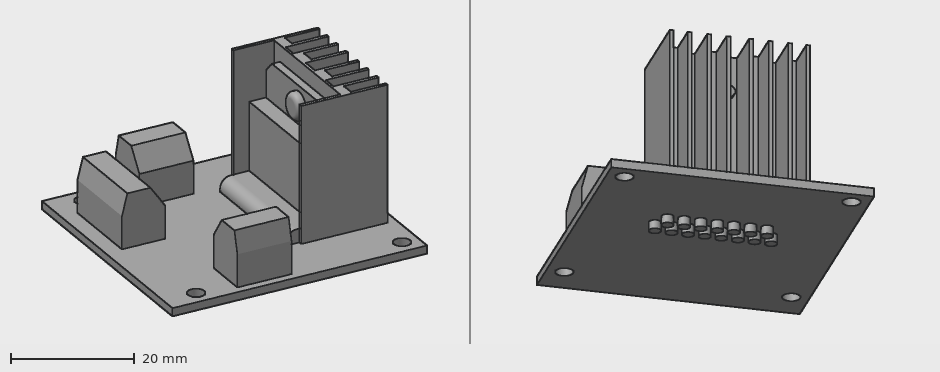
import cadquery as cq

BOARD_WIDTH = 44.0
BOARD_LENGTH = 47.0
BOARD_THICKNESS = 1.5
HOLE_DIAMETER = 3.0
HOLE_SPACING = 38.0
HOLE_EDGE_MARGIN = 3.0
BOARD_BACK = HOLE_SPACING / 2 + HOLE_EDGE_MARGIN

SINK_HEIGHT = 25.0
SINK_WIDTH = 23.5
SINK_LENGTH = 15.9
SINK_EDGE_MARGIN = 1.7
SINK_BACK = BOARD_BACK - SINK_EDGE_MARGIN
WALL_THICKNESS = 0.65
FIN_THICKNESS = 0.7
FIN_CENTERS = (1.9, 5.13, 8.41)
FIN_SIDE_DEPTH = 8.4
PLATE_FRONT = SINK_BACK - FIN_SIDE_DEPTH
PLATE_THICKNESS_MIDDLE_GAP = 0.45
PLATE_THICKNESS_CENTER_GAP = 0.6
PLATE_THICKNESS_OTHER_GAPS = 2.0
INNER_WIDTH = SINK_WIDTH - 2 * WALL_THICKNESS

TAB_THICKNESS = 1.5
TAB_HEIGHT = 22.0
TAB_CHAMFER = 2.0
BODY_HEIGHT = 15.0
BODY_THICKNESS = 4.6
LEAD_HEIGHT = 2.5
LEAD_REACH = 10.0
LEAD_BEND_RADIUS = 2.0

SCREW_HEIGHT = 18.5
SCREW_DIAMETER = 2.0
SCREW_TIP_LENGTH = 1.05
HEAD_DIAMETER = 5.0
HEAD_THICKNESS = 1.5
HEAD_ROUNDING = 1.0

PIN_DIAMETER = 2.0
PIN_LENGTH = 1.5
PIN_PITCH = 2.78
PIN_ROW_SPACING = 2.7
FRONT_ROW_COUNT = 8
BACK_ROW_OFFSET = 5.95
BACK_ROW_Y = PLATE_FRONT - BACK_ROW_OFFSET

TERMINAL_DEPTH = 8.0
TERMINAL_HEIGHT = 9.9
TERMINAL_SHOULDER = 6.0
STEEP_SLOPE_RUN = 1.0
GENTLE_SLOPE_RUN = 2.75
SIDE_TERMINAL_LENGTH = 10.0
SIDE_TERMINAL_OUTER_X = 20.5
SIDE_TERMINAL_Y = -7.2
FRONT_TERMINAL_LENGTH = 15.0
FRONT_TERMINAL_OUTER_Y = 22.0
FRONT_TERMINAL_X = -8.0


def block(x_min, x_max, y_min, y_max, z_max):
    """Box standing on the board's top face."""
    return (
        cq.Workplane("XY")
        .box(x_max - x_min, y_max - y_min, z_max, centered=False)
        .translate((x_min, y_min, 0))
    )


def make_board():
    return (
        cq.Workplane("XY")
        .center(0, BOARD_BACK - BOARD_LENGTH / 2)
        .rect(BOARD_WIDTH, BOARD_LENGTH)
        .extrude(-BOARD_THICKNESS)
        .cut(
            cq.Workplane("XY")
            .rect(HOLE_SPACING, HOLE_SPACING, forConstruction=True)
            .vertices()
            .circle(HOLE_DIAMETER / 2)
            .extrude(-BOARD_THICKNESS)
        )
    )


def make_heatsink():
    half_inner = INNER_WIDTH / 2
    thin_back = PLATE_FRONT + PLATE_THICKNESS_MIDDLE_GAP
    thick_back = PLATE_FRONT + PLATE_THICKNESS_OTHER_GAPS
    sink = block(-half_inner, half_inner, PLATE_FRONT, thin_back, SINK_HEIGHT)
    inner_fin, middle_fin, outer_fin = FIN_CENTERS
    center_back = PLATE_FRONT + PLATE_THICKNESS_CENTER_GAP
    sink = sink.union(block(-inner_fin, inner_fin, PLATE_FRONT, center_back, SINK_HEIGHT))
    half_fin = FIN_THICKNESS / 2
    for side in (-1, 1):
        wall_x = side * (SINK_WIDTH - WALL_THICKNESS) / 2
        wall = block(
            wall_x - WALL_THICKNESS / 2,
            wall_x + WALL_THICKNESS / 2,
            SINK_BACK - SINK_LENGTH,
            SINK_BACK,
            SINK_HEIGHT,
        )
        sink = sink.union(wall)
        for center in FIN_CENTERS:
            fin_x = side * center
            fin = block(fin_x - half_fin, fin_x + half_fin, PLATE_FRONT, SINK_BACK, SINK_HEIGHT)
            sink = sink.union(fin)
        for start, end in ((inner_fin, middle_fin), (outer_fin, half_inner)):
            x_min, x_max = sorted((side * start, side * end))
            sink = sink.union(block(x_min, x_max, PLATE_FRONT, thick_back, SINK_HEIGHT))
    return sink


def make_device():
    half_width = INNER_WIDTH / 2
    tab_front = PLATE_FRONT - TAB_THICKNESS
    tab = (
        block(-half_width, half_width, tab_front, PLATE_FRONT, TAB_HEIGHT)
        .edges("|Y and >Z")
        .chamfer(TAB_CHAMFER)
    )
    body = block(-half_width, half_width, PLATE_FRONT - BODY_THICKNESS, PLATE_FRONT, BODY_HEIGHT)
    leads = (
        block(-half_width, half_width, PLATE_FRONT - LEAD_REACH, PLATE_FRONT, LEAD_HEIGHT)
        .edges("|X and >Z and <Y")
        .fillet(LEAD_BEND_RADIUS)
    )
    return tab.union(body).union(leads)


def make_screw():
    tab_front = PLATE_FRONT - TAB_THICKNESS
    shank_end = PLATE_FRONT + PLATE_THICKNESS_CENTER_GAP + SCREW_TIP_LENGTH
    head = (
        cq.Workplane("XZ", origin=(0, tab_front, SCREW_HEIGHT))
        .circle(HEAD_DIAMETER / 2)
        .extrude(HEAD_THICKNESS)
        .faces("<Y")
        .edges()
        .fillet(HEAD_ROUNDING)
    )
    shank = (
        cq.Workplane("XZ", origin=(0, tab_front, SCREW_HEIGHT))
        .circle(SCREW_DIAMETER / 2)
        .extrude(tab_front - shank_end)
    )
    return head.union(shank)


def make_pin_row(count, row_y):
    return (
        cq.Workplane("XY", origin=(0, row_y, -BOARD_THICKNESS))
        .rarray(PIN_PITCH, 1, count, 1)
        .circle(PIN_DIAMETER / 2)
        .extrude(-PIN_LENGTH)
    )


def make_terminal(length):
    """Terminal block along Y, centred on Y = 0, with its steep slope at X = 0 facing -X."""
    profile = [
        (0, 0),
        (0, TERMINAL_SHOULDER),
        (STEEP_SLOPE_RUN, TERMINAL_HEIGHT),
        (TERMINAL_DEPTH - GENTLE_SLOPE_RUN, TERMINAL_HEIGHT),
        (TERMINAL_DEPTH, TERMINAL_SHOULDER),
        (TERMINAL_DEPTH, 0),
    ]
    return cq.Workplane("XZ").polyline(profile).close().extrude(length / 2, both=True)


def make_terminals():
    z_axis = ((0, 0, 0), (0, 0, 1))
    side_terminal = make_terminal(SIDE_TERMINAL_LENGTH)
    left = side_terminal.translate((-SIDE_TERMINAL_OUTER_X, SIDE_TERMINAL_Y, 0))
    right = side_terminal.rotate(*z_axis, 180).translate((SIDE_TERMINAL_OUTER_X, SIDE_TERMINAL_Y, 0))
    front = (
        make_terminal(FRONT_TERMINAL_LENGTH)
        .rotate(*z_axis, 90)
        .translate((FRONT_TERMINAL_X, -FRONT_TERMINAL_OUTER_Y, 0))
    )
    return left.union(right).union(front)


result = (
    make_board()
    .union(make_heatsink())
    .union(make_device())
    .union(make_screw())
    .union(make_pin_row(FRONT_ROW_COUNT - 1, BACK_ROW_Y))
    .union(make_pin_row(FRONT_ROW_COUNT, BACK_ROW_Y - PIN_ROW_SPACING))
    .union(make_terminals())
)